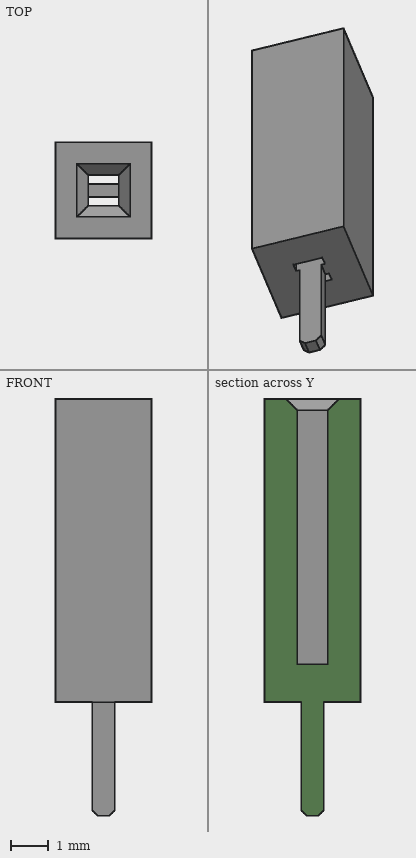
import cadquery as cq

housing_width = 2.54
housing_height = 8.0

socket_width = 0.8
lead_in = 0.3

pin_width = 0.6
pin_thickness = 0.35
pin_length = 3.0
tip_chamfer = 0.15

web_height = 1.0


def make_housing():
    """Square block with the through socket and its lead-in."""
    block = cq.Workplane("XY").rect(housing_width, housing_width).extrude(housing_height)
    socket = cq.Workplane("XY").rect(socket_width, socket_width).extrude(housing_height)
    mouth_width = socket_width + 2 * lead_in
    funnel = (
        cq.Workplane("XY", origin=(0, 0, housing_height - lead_in))
        .rect(socket_width, socket_width)
        .workplane(offset=lead_in)
        .rect(mouth_width, mouth_width)
        .loft(ruled=True)
    )
    return block.cut(socket).cut(funnel)


def make_web():
    """Bar joining the two X walls of the socket, leaving a gap on each Y side."""
    return cq.Workplane("XY").rect(socket_width, pin_thickness).extrude(web_height)


def make_pin():
    """Flat pin pointing down, with the two narrow sides chamfered at the tip."""
    pin = cq.Workplane("XY").rect(pin_width, pin_thickness).extrude(-pin_length)
    return pin.faces("<Z").edges("|Y").chamfer(tip_chamfer)


result = make_housing().union(make_web()).union(make_pin())